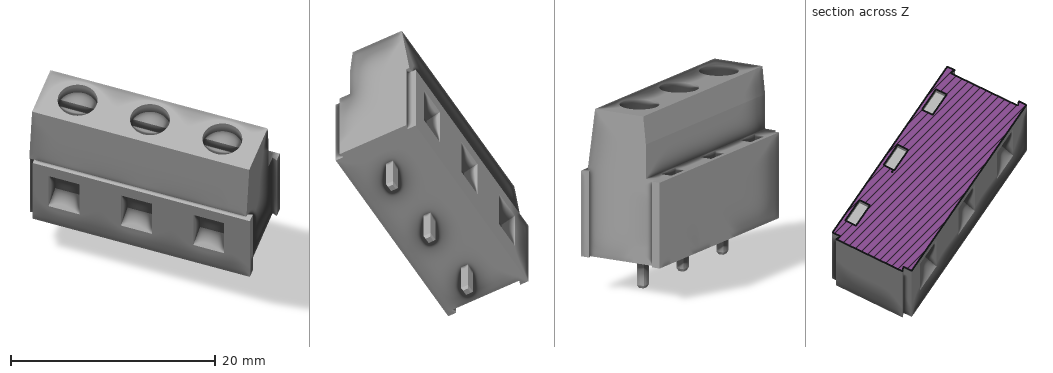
import cadquery as cq

pole_count = 3
length = 23.0
depth = 9.0
pin_length = 3.5
total_height = 18.5
housing_height = total_height - pin_length
shoulder_height = 8.7

tongue_shift = 0.5
body_length = length - tongue_shift
pitch = body_length / pole_count
front_joint_outer = 0.74
front_joint_inner = 0.92
back_joint_outer = 8.3
back_joint_inner = 8.1

upper_front_base = 0.44
upper_front_top = 1.29
upper_back_top = 6.8
upper_back_base = 7.1
back_bend_height = 12.2

screw_y = 4.1
screw_diameter = 3.9
screw_recess = 1.2
slot_width = 0.8
slot_depth = 1.0

entry_width = 3.2
entry_bottom = 2.62
entry_top = 7.31
entry_depth = 1.43
entry_inner_width = 2.78
entry_inner_bottom = 3.85
entry_inner_top = 6.55

pocket_width = 2.71
pocket_front = 7.4
pocket_back = 8.58
pocket_depth = 1.0

pin_width = 1.0
pin_thickness = 0.8
pin_y = depth / 2
tip_height = 0.3
tip_inset_x = 0.18
tip_inset_y = 0.14

pole_positions = [(i + 0.5) * pitch for i in range(pole_count)]


def make_lower_housing():
    """Base whose end faces carry dovetailed tongues and matching notches."""
    outline = [
        (tongue_shift, 0),
        (length, 0),
        (length, front_joint_inner),
        (body_length, front_joint_outer),
        (body_length, back_joint_outer),
        (length, back_joint_inner),
        (length, depth),
        (tongue_shift, depth),
        (tongue_shift, back_joint_inner),
        (0, back_joint_outer),
        (0, front_joint_outer),
        (tongue_shift, front_joint_inner),
    ]
    return cq.Workplane("XY").polyline(outline).close().extrude(shoulder_height)


def make_upper_housing():
    """Tapered block holding the screws, standing on the base."""
    profile = [
        (upper_front_base, shoulder_height),
        (upper_front_top, housing_height),
        (upper_back_top, housing_height),
        (upper_back_base, back_bend_height),
        (upper_back_base, shoulder_height),
    ]
    return cq.Workplane("YZ").polyline(profile).close().extrude(body_length)


def make_screw_recess(x):
    """Round recess above the screw head, with the driver slot below it."""
    recess_floor = housing_height - screw_recess
    top_plane = cq.Workplane("XY", origin=(x, screw_y, housing_height))
    recess = top_plane.circle(screw_diameter / 2).extrude(-screw_recess)
    floor_plane = cq.Workplane("XY", origin=(x, screw_y, recess_floor))
    slot = floor_plane.rect(screw_diameter, slot_width).extrude(-slot_depth)
    slot_limit = floor_plane.circle(screw_diameter / 2).extrude(-slot_depth)
    return recess.union(slot.intersect(slot_limit))


def make_wire_entry(x):
    """Rectangular funnel that narrows away from the front face."""
    outer_center = (entry_bottom + entry_top) / 2
    inner_center = (entry_inner_bottom + entry_inner_top) / 2
    return (
        cq.Workplane("XZ", origin=(x, 0, outer_center))
        .rect(entry_width, entry_top - entry_bottom)
        .workplane(offset=-entry_depth)
        .center(0, inner_center - outer_center)
        .rect(entry_inner_width, entry_inner_top - entry_inner_bottom)
        .loft(ruled=True)
    )


def make_shoulder_pocket(x):
    """Blind pocket in the back shoulder."""
    center_y = (pocket_front + pocket_back) / 2
    plane = cq.Workplane("XY", origin=(x, center_y, shoulder_height))
    return plane.rect(pocket_width, pocket_back - pocket_front).extrude(-pocket_depth)


def make_pin(x):
    """Rectangular solder pin with a tapered tip."""
    shank_length = pin_length - tip_height
    shank = (
        cq.Workplane("XY", origin=(x, pin_y, 0))
        .rect(pin_width, pin_thickness)
        .extrude(-shank_length)
    )
    tip = (
        cq.Workplane("XY", origin=(x, pin_y, -shank_length))
        .rect(pin_width, pin_thickness)
        .workplane(offset=-tip_height)
        .rect(pin_width - 2 * tip_inset_x, pin_thickness - 2 * tip_inset_y)
        .loft(ruled=True)
    )
    return shank.union(tip)


result = make_lower_housing().union(make_upper_housing())
for pole_x in pole_positions:
    result = result.cut(make_screw_recess(pole_x))
    result = result.cut(make_wire_entry(pole_x))
    result = result.cut(make_shoulder_pocket(pole_x))
    result = result.union(make_pin(pole_x))